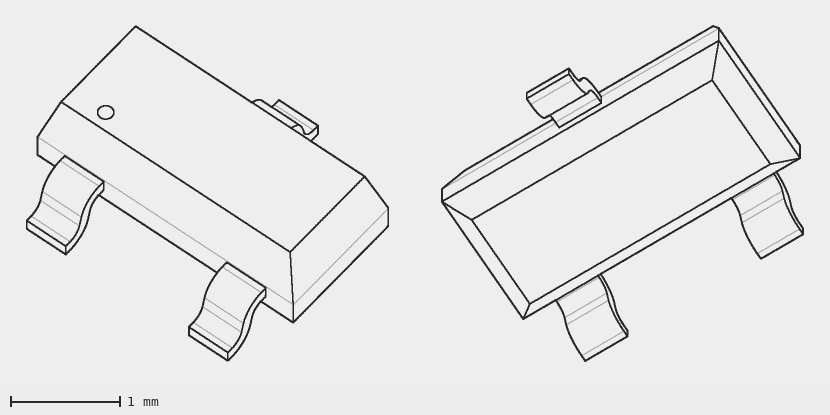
import cadquery as cq
import math

housing_length = 3.0
housing_width = 1.39
housing_height = 1.09
belt_bottom = 0.275
belt_top = 0.565
top_inset_x = 0.155
top_inset_y = 0.15
bottom_inset = 0.198

marker_diameter = 0.15
marker_depth = 0.015
marker_y = -0.38

overall_width = 2.5
lead_width = 0.46
lead_thickness = 0.132
lead_top = 0.543
lead_pitch = 0.95
bend_inner_radius = 0.138
lead_slope = math.radians(75)

bend_outer_radius = bend_inner_radius + lead_thickness
lead_reach = (overall_width - housing_width) / 2
lead_drop = lead_top - lead_thickness
bend_radius_sum = bend_inner_radius + bend_outer_radius
straight_drop = lead_drop - bend_radius_sum * (1 - math.cos(lead_slope))
straight_run = straight_drop / math.tan(lead_slope)
lead_flat = (lead_reach - bend_radius_sum * math.sin(lead_slope) - straight_run) / 2


def tapered_block(base_z, base_size, end_z, end_size):
    """Straight-sided block between two centred rectangles at different heights."""
    return (
        cq.Workplane("XY")
        .workplane(offset=base_z)
        .rect(*base_size)
        .workplane(offset=end_z - base_z)
        .rect(*end_size)
        .loft(ruled=True)
    )


def make_marker():
    return (
        cq.Workplane("XY")
        .workplane(offset=housing_height - marker_depth)
        .center(-lead_pitch, marker_y)
        .circle(marker_diameter / 2)
        .extrude(marker_depth)
    )


def make_housing():
    belt_size = (housing_length, housing_width)
    top_size = (housing_length - 2 * top_inset_x, housing_width - 2 * top_inset_y)
    bottom_size = (housing_length - 2 * bottom_inset, housing_width - 2 * bottom_inset)
    lower = tapered_block(0, bottom_size, belt_bottom, belt_size)
    belt = tapered_block(belt_bottom, belt_size, belt_top, belt_size)
    upper = tapered_block(belt_top, belt_size, housing_height, top_size)
    marker_recess = make_marker()
    return lower.union(belt).union(upper).cut(marker_recess)


def bend_point(center, radius, angle):
    """Point on a bend, with the angle measured from straight up, towards +Y."""
    return (center[0] + radius * math.sin(angle), center[1] + radius * math.cos(angle))


def make_lead(x, turn):
    """Lead centred at x on the +Y side, then turned about Z by the given degrees."""
    root_y = housing_width / 2
    tip_y = overall_width / 2
    shoulder = (root_y + lead_flat, lead_top - bend_outer_radius)
    heel = (tip_y - lead_flat, bend_outer_radius)
    down = math.pi

    def shoulder_point(radius, angle):
        return bend_point(shoulder, radius, angle)

    def heel_point(radius, angle):
        return bend_point(heel, radius, down + angle)

    half_slope = lead_slope / 2
    profile = (
        cq.Workplane("YZ")
        .moveTo(root_y, lead_top)
        .lineTo(*shoulder_point(bend_outer_radius, 0))
        .threePointArc(
            shoulder_point(bend_outer_radius, half_slope),
            shoulder_point(bend_outer_radius, lead_slope),
        )
        .lineTo(*heel_point(bend_inner_radius, lead_slope))
        .threePointArc(heel_point(bend_inner_radius, half_slope), heel_point(bend_inner_radius, 0))
        .lineTo(tip_y, lead_thickness)
        .lineTo(tip_y, 0)
        .lineTo(*heel_point(bend_outer_radius, 0))
        .threePointArc(heel_point(bend_outer_radius, half_slope), heel_point(bend_outer_radius, lead_slope))
        .lineTo(*shoulder_point(bend_inner_radius, lead_slope))
        .threePointArc(shoulder_point(bend_inner_radius, half_slope), shoulder_point(bend_inner_radius, 0))
        .lineTo(root_y, lead_top - lead_thickness)
        .close()
    )
    lead = profile.extrude(lead_width / 2, both=True)
    return lead.rotate((0, 0, 0), (0, 0, 1), turn).translate((x, 0, 0))


housing = make_housing()
marker = make_marker()

lead_places = [(0, 0), (-lead_pitch, 180), (lead_pitch, 180)]
leads = [make_lead(x, turn) for x, turn in lead_places]

result = cq.Compound.makeCompound([housing.val(), marker.val(), *[lead.val() for lead in leads]])